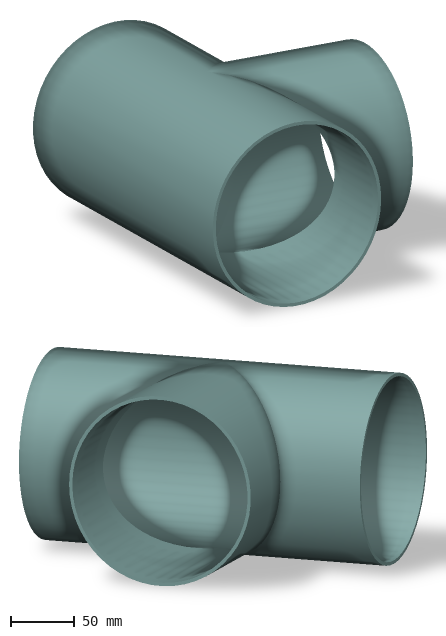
import cadquery as cq

run_length = 285.8
outer_diameter = 152.3
inner_diameter = 147.0
branch_length = run_length / 2


def tee_of_cylinders(diameter):
    """Solid tee of the given diameter, with its axes crossing at the origin."""
    radius = diameter / 2
    run = cq.Workplane("YZ").circle(radius).extrude(run_length / 2, both=True)
    branch = cq.Workplane("XZ").circle(radius).extrude(-branch_length)
    return run.union(branch)


result = tee_of_cylinders(outer_diameter).cut(tee_of_cylinders(inner_diameter))